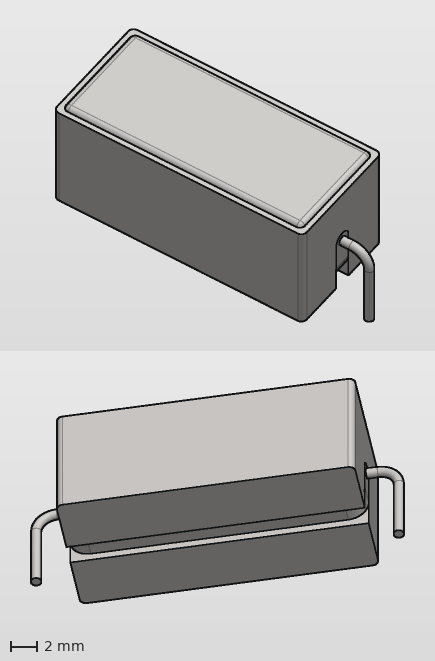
import cadquery as cq

overall_length = 28.75
overall_height = 12.5
lead_drop = 2.5

housing_length = 23.0
housing_width = 10.5
housing_height = 9.69
wall = 0.5
corner_radius = 0.5

slot_width = 1.65
lead_axis_height = 4.6

filling_top = overall_height - lead_drop
filling_edge_radius = 0.5
filling_length = housing_length - 2 * wall
filling_width = housing_width - 2 * wall
tongue_bottom = 0.65
tongue_end_radius = 1.58
floor_thickness = tongue_bottom + tongue_end_radius

lead_diameter = 0.8
bend_radius = 2 * lead_diameter
lead_axis_x = (overall_length - lead_diameter) / 2
lead_inner_x = housing_length / 2 - wall


def make_slot_prism(bottom):
    """Arch-topped prism along the whole housing, from the given height up."""
    half_width = slot_width / 2
    return (
        cq.Workplane("YZ", origin=(-housing_length / 2, 0, 0))
        .moveTo(-half_width, bottom)
        .lineTo(half_width, bottom)
        .lineTo(half_width, lead_axis_height)
        .threePointArc((0, lead_axis_height + half_width), (-half_width, lead_axis_height))
        .close()
        .extrude(housing_length)
    )


def make_cup_fill():
    """Block that fills the cup and stands slightly above its rim, round on top."""
    return (
        cq.Workplane("XY", origin=(0, 0, floor_thickness))
        .rect(filling_length, filling_width)
        .extrude(filling_top - floor_thickness)
        .edges("|Z or >Z")
        .fillet(filling_edge_radius)
    )


def make_cavity():
    """Hollow of the cup, with the same upright corners as the filling."""
    return (
        cq.Workplane("XY", origin=(0, 0, floor_thickness))
        .rect(filling_length, filling_width)
        .extrude(housing_height - floor_thickness)
        .edges("|Z")
        .fillet(filling_edge_radius)
    )


def make_housing():
    block = (
        cq.Workplane("XY")
        .rect(housing_length, housing_width)
        .extrude(housing_height)
        .edges("|Z")
        .fillet(corner_radius)
    )
    return block.cut(make_cavity()).cut(make_slot_prism(0))


def make_lead(side):
    """Bent lead; side is -1 for the -X end and +1 for the +X end."""
    bend_end_height = lead_axis_height - bend_radius
    bend_start_x = side * (lead_axis_x - bend_radius)
    path = (
        cq.Workplane("XZ")
        .moveTo(side * lead_inner_x, lead_axis_height)
        .lineTo(bend_start_x, lead_axis_height)
        .tangentArcPoint((side * lead_axis_x, bend_end_height), relative=False)
        .lineTo(side * lead_axis_x, -lead_drop)
    )
    return (
        cq.Workplane("YZ", origin=(side * lead_inner_x, 0, lead_axis_height))
        .circle(lead_diameter / 2)
        .sweep(path)
    )


def make_filling(leads):
    """Cup fill with a tongue in the slot, and a hole for each lead."""
    tongue = make_slot_prism(tongue_bottom).faces("<Z").edges("|Y").fillet(tongue_end_radius)
    filling = make_cup_fill().union(tongue)
    for lead in leads:
        filling = filling.cut(lead)
    return filling


housing = make_housing()
leads = [make_lead(side) for side in (-1, 1)]
filling = make_filling(leads)

result = cq.Compound.makeCompound([
    housing.solids().val(),
    filling.solids().val(),
    *[lead.val() for lead in leads],
])